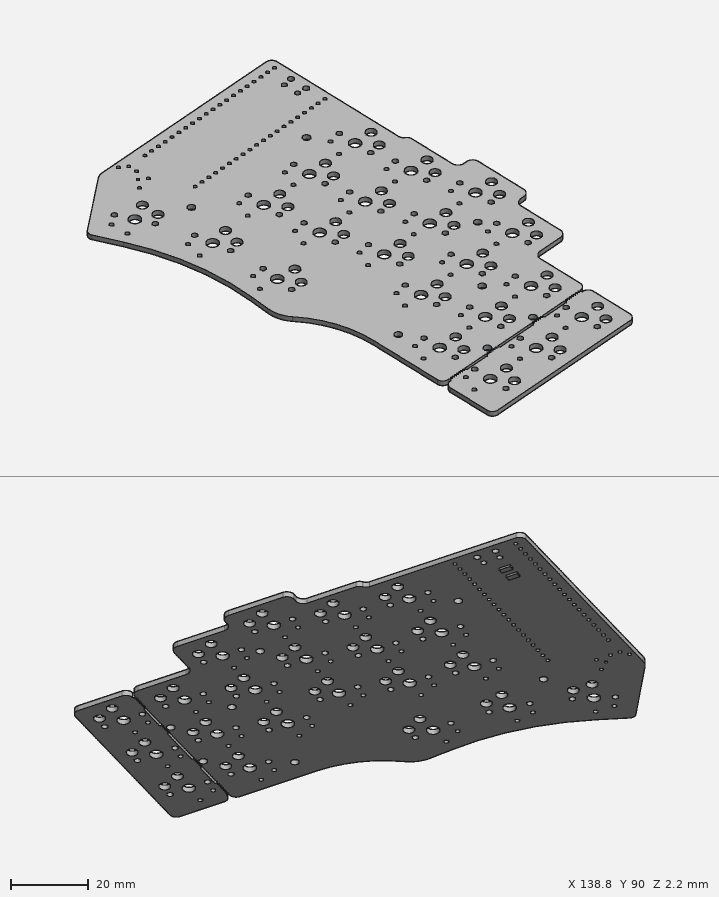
import cadquery as cq
import math

LENGTH = 138.8
WIDTH = 90.0
OVERALL_HEIGHT = 2.2
RESISTOR_HEIGHT = 0.62
THICKNESS = OVERALL_HEIGHT - RESISTOR_HEIGHT

RIGHT = LENGTH / 2
LEFT = -RIGHT
TOP = WIDTH / 2
BOTTOM = -TOP

LEFT_SHOULDER_Y = 38.0
UPPER_SHOULDER_Y = 39.7
LOWER_SHOULDER_Y = 27.9
BOTTOM_EDGE_Y = -25.3
TAB_LEFT_X = -4.7
TAB_RIGHT_X = 15.5
STEP_X = 33.6
CORNER_RADIUS = 2.0
STEP_RADIUS = 2.1
SOFT_RADIUS = 1.8
THUMB_RADIUS = 79.1
PALM_RADIUS = 34.7
HEEL_RADIUS = 9.7
TIP_RADIUS = 1.8
SIDE_RADIUS = 3.9

MAIN_EDGE_X = 51.8
SLIT_WIDTH = 0.76
COLUMN_EDGE_X = MAIN_EDGE_X + SLIT_WIDTH
SLITS = [(TOP, 25.7), (20.1, 11.7), (7.9, -5.0), (-9.2, -17.2), (-22.8, BOTTOM)]
BITE_DIAMETER = 0.5
BITE_PITCH = 0.75
BITE_X = 51.9

FIRST_COLUMN_X = -30.5
LAST_COLUMN_X = 59.4
COLUMN_MIDDLE_Y = [11.4, 13.3, 18.5, 13.3, 1.4, 1.4]
COLUMN_PITCH = (LAST_COLUMN_X - FIRST_COLUMN_X) / (len(COLUMN_MIDDLE_Y) - 1)
OUTER_ROW_SPAN = 34.0
ROW_PITCH = OUTER_ROW_SPAN / 2
THUMB_KEYS = [(-50.5, -32.6, 25), (-29.5, -25.7, 10), (-7.6, -24.5, -5)]
KEY_HOLES = [
    (0, 0, 3.5),
    (0, 6.0, 3.0),
    (5.0, 3.7, 3.0),
    (-5.5, 0, 1.7),
    (5.5, 0, 1.7),
    (-5.0, -3.9, 1.26),
    (0, -6.0, 1.26),
]

PIN_COUNT = 20
PIN_ROW_LENGTH = 48.3
PIN_PITCH = PIN_ROW_LENGTH / (PIN_COUNT - 1)
PIN_ROW_TOP_Y = 35.8
PIN_ROW_XS = [-66.2, -48.3]
PIN_DIAMETER = 1.01

SCREW_DIAMETER = 2.2
SCREW_HOLES = [
    (-41.1, 21.4),
    (-43.3, -19.2),
    (14.0, 27.3),
    (30.1, -19.2),
    (32.3, 9.7),
    (50.4, 9.7),
    (50.4, -7.2),
]

BUTTON_HOLES = [(-60.1, 35.5), (-54.7, 35.5)]
BUTTON_DIAMETER = 1.8
BATTERY_HOLES = [(-59.7, 32.6), (-55.0, 32.6)]
BATTERY_DIAMETER = 1.5
JACK_HOLES = [(-67.9, -20.5), (-66.2, -18.5), (-63.5, -18.5), (-59.3, -18.5), (-58.3, -22.8)]
JACK_DIAMETER = 1.01
JACK_PEG_HOLE = (-61.0, -20.5)
JACK_PEG_DIAMETER = 0.8

RESISTOR_LENGTH = 3.2
RESISTOR_WIDTH = 1.5
RESISTOR_X = -58.9
RESISTOR_YS = [27.9, 24.3]

MAIN_OUTLINE = [
    (LEFT, LEFT_SHOULDER_Y, CORNER_RADIUS),
    (-23.3, LEFT_SHOULDER_Y, SOFT_RADIUS),
    (-22.2, UPPER_SHOULDER_Y, SOFT_RADIUS),
    (TAB_LEFT_X, UPPER_SHOULDER_Y, STEP_RADIUS),
    (TAB_LEFT_X, TOP, STEP_RADIUS),
    (TAB_RIGHT_X, TOP, STEP_RADIUS),
    (TAB_RIGHT_X, UPPER_SHOULDER_Y, STEP_RADIUS),
    (STEP_X, UPPER_SHOULDER_Y, STEP_RADIUS),
    (STEP_X, LOWER_SHOULDER_Y, STEP_RADIUS),
    (MAIN_EDGE_X, LOWER_SHOULDER_Y, CORNER_RADIUS),
    (MAIN_EDGE_X, BOTTOM_EDGE_Y, CORNER_RADIUS),
    (15.1, BOTTOM_EDGE_Y, PALM_RADIUS),
    (2.6, -35.1, HEEL_RADIUS),
    (-27.8, -32.8, THUMB_RADIUS),
    (-55.5, -45.4, TIP_RADIUS),
    (LEFT, -26.2, SIDE_RADIUS),
]


def rounded_plate(corners):
    """Plate on z = 0 whose polygon corners (x, y, radius) become tangent arcs."""
    path = None
    count = len(corners)
    for i, (x, y, radius) in enumerate(corners):
        before = cq.Vector(*corners[i - 1][:2])
        corner = cq.Vector(x, y)
        after = cq.Vector(*corners[(i + 1) % count][:2])
        inward = (before - corner).normalized()
        outward = (after - corner).normalized()
        half_angle = inward.getAngle(outward) / 2
        tangent = radius / math.tan(half_angle)
        middle_gap = radius / math.sin(half_angle) - radius
        start = corner + inward * tangent
        middle = corner + (inward + outward).normalized() * middle_gap
        end = corner + outward * tangent
        if path is None:
            path = cq.Workplane("XY").moveTo(start.x, start.y)
        else:
            path = path.lineTo(start.x, start.y)
        path = path.threePointArc((middle.x, middle.y), (end.x, end.y))
    return path.close().extrude(THICKNESS)


def drill(plate, points, diameter):
    """Cut a through hole at every point."""
    drills = cq.Workplane("XY").pushPoints(points).circle(diameter / 2).extrude(THICKNESS)
    return plate.cut(drills)


def key_hole_points(key_x, key_y, turn, diameter):
    """Centres of one switch's holes of the given diameter."""
    cosine = math.cos(math.radians(turn))
    sine = math.sin(math.radians(turn))
    return [
        (key_x + x * cosine - y * sine, key_y + x * sine + y * cosine)
        for x, y, hole_diameter in KEY_HOLES
        if hole_diameter == diameter
    ]


def drill_keys(plate):
    """Cut the holes of the finger keys and of the thumb keys."""
    keys = list(THUMB_KEYS)
    for i, middle_y in enumerate(COLUMN_MIDDLE_Y):
        for row in (-1, 0, 1):
            keys.append((FIRST_COLUMN_X + i * COLUMN_PITCH, middle_y + row * ROW_PITCH, 0))
    for diameter in sorted({hole[2] for hole in KEY_HOLES}):
        points = [point for key in keys for point in key_hole_points(*key, diameter)]
        plate = drill(plate, points, diameter)
    return plate


def bite_points():
    """Centres of the perforations along the bridges left between the slits."""
    points = []
    for above, below in zip(SLITS, SLITS[1:]):
        bridge_top = above[1]
        bridge_bottom = below[0]
        count = int((bridge_top - bridge_bottom) / BITE_PITCH)
        first_y = (bridge_top + bridge_bottom + (count - 1) * BITE_PITCH) / 2
        points += [(BITE_X, first_y - i * BITE_PITCH) for i in range(count)]
    return points


def cut_slits(plate):
    """Cut the round-ended slits between the main board and the column."""
    middle_x = (MAIN_EDGE_X + COLUMN_EDGE_X) / 2
    for upper_y, lower_y in SLITS:
        slit = (
            cq.Workplane("XY")
            .center(middle_x, (upper_y + lower_y) / 2)
            .slot2D(upper_y - lower_y, SLIT_WIDTH, 90)
            .extrude(THICKNESS)
        )
        plate = plate.cut(slit)
    return plate


def make_board():
    """Main board and break-off column, joined by perforated bridges, with all the holes."""
    board = rounded_plate(MAIN_OUTLINE)
    column = rounded_plate([
        (COLUMN_EDGE_X, LOWER_SHOULDER_Y, CORNER_RADIUS),
        (RIGHT, LOWER_SHOULDER_Y, CORNER_RADIUS),
        (RIGHT, BOTTOM_EDGE_Y, CORNER_RADIUS),
        (COLUMN_EDGE_X, BOTTOM_EDGE_Y, CORNER_RADIUS),
    ])
    web_height = LOWER_SHOULDER_Y - BOTTOM_EDGE_Y - 2 * CORNER_RADIUS
    web = (
        cq.Workplane("XY")
        .center((MAIN_EDGE_X + COLUMN_EDGE_X) / 2, (LOWER_SHOULDER_Y + BOTTOM_EDGE_Y) / 2)
        .rect(SLIT_WIDTH, web_height)
        .extrude(THICKNESS)
    )
    board = cut_slits(board.union(column).union(web))
    board = drill(board, bite_points(), BITE_DIAMETER)
    board = drill_keys(board)
    pins = [(x, PIN_ROW_TOP_Y - i * PIN_PITCH) for x in PIN_ROW_XS for i in range(PIN_COUNT)]
    board = drill(board, pins, PIN_DIAMETER)
    board = drill(board, SCREW_HOLES, SCREW_DIAMETER)
    board = drill(board, BUTTON_HOLES, BUTTON_DIAMETER)
    board = drill(board, BATTERY_HOLES, BATTERY_DIAMETER)
    board = drill(board, JACK_HOLES, JACK_DIAMETER)
    board = drill(board, [JACK_PEG_HOLE], JACK_PEG_DIAMETER)
    return board


def make_resistor(y):
    """Flat resistor on the underside of the board."""
    return (
        cq.Workplane("XY")
        .center(RESISTOR_X, y)
        .rect(RESISTOR_LENGTH, RESISTOR_WIDTH)
        .extrude(-RESISTOR_HEIGHT)
    )


board = make_board()
resistors = [make_resistor(y) for y in RESISTOR_YS]
result = cq.Compound.makeCompound([board.val(), *[resistor.val() for resistor in resistors]])